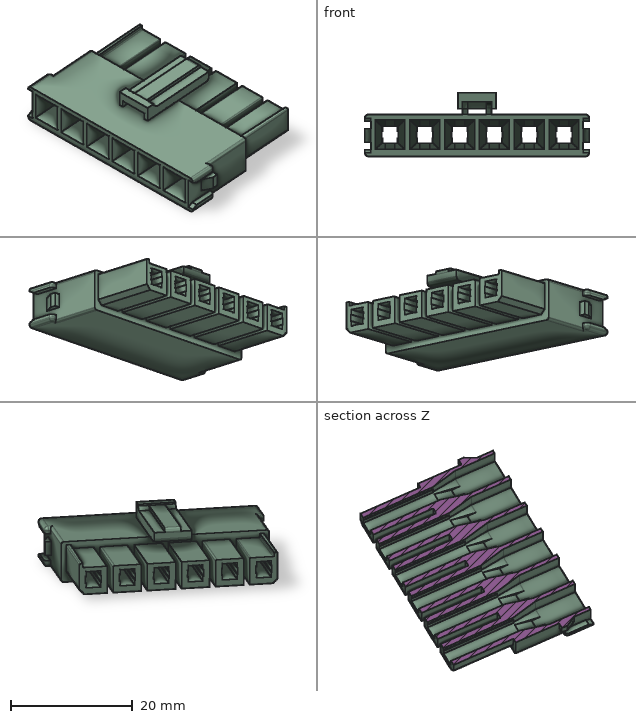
import cadquery as cq

flange_width = 36.85
body_width = 34.82
body_depth = 13.93
body_height = 6.93
body_edge_radius = 0.45

flange_depth = 5.2
flange_thickness = 1.15
flange_edge_radius = 0.65
lead_in_length = 0.92
lead_in_height = 0.48

nub_front = 3.05
nub_peak = 4.85
nub_back = 5.9
nub_height = 2.3

circuit_count = 6
pitch = 5.7
sleeve_width = 4.7
end_sleeve_width = 4.68
sleeve_bottom = 1.1
sleeve_top = 5.7
sleeve_end = 25.0
sleeve_edge_radius = 0.25
end_sleeve_edge_radius = 0.15
end_sleeve_chamfer = 0.8
lip_top = 6.38
lip_root_width = 0.77
lip_tip_width = 0.6
lip_edge_radius = 0.2
lip_foot_radius = 0.2

cavity_width = 4.9
cavity_bottom = 1.18
cavity_top = 6.0
bore_width = 2.65
bore_bottom = 2.2
bore_top = 4.97
throat_width = 2.45
throat_notch_height = 1.1
taper_start = 7.37
taper_length = 4.68
keyway_width = 1.62
keyway_ramp_length = 3.15

latch_width = 6.25
latch_front = 5.6
latch_back = 20.4
latch_bottom = 7.8
latch_top = 10.5
latch_shoulder = 9.58
latch_spine_top = 10.2
latch_spine_width = 2.7
latch_pad_back = 7.08
latch_ramp_length = 0.7
latch_back_radius = 0.7
latch_recess_width = 4.8
latch_recess_top = 9.0

post_width = 0.9
post_root_front = 10.95
post_root_back = 12.9
post_head_front = 10.5
post_front_radius = 1.2
post_back = 12.6
post_x = (latch_recess_width - post_width) / 2

overlap = 0.2

mid_height = body_height / 2
sleeve_centers = [(i - (circuit_count - 1) / 2) * pitch for i in range(circuit_count)]


def block(x_center, width, y_start, y_end, z_start, z_end):
    """Box centred on x_center, spanning the given Y and Z ranges."""
    return cq.Workplane("XY").box(
        width, y_end - y_start, z_end - z_start, centered=(True, False, False)
    ).translate((x_center, y_start, z_start))


def side_profile(points, width, x_center=0.0):
    """Extrude a closed (y, z) outline symmetrically about x_center."""
    profile = cq.Workplane("YZ").polyline(points).close()
    return profile.extrude(width / 2, both=True).translate((x_center, 0, 0))


def mirrored_x(solid):
    return solid.union(solid.mirror("YZ"))


def make_body():
    core = block(0, body_width, 0, body_depth, 0, body_height)
    return core.edges("|Y").fillet(body_edge_radius)


def make_flange():
    """Top front plate with sloped lead-ins; only its two ends stand clear of the body."""
    underside = body_height - flange_thickness
    plate = side_profile(
        [
            (0, body_height),
            (0, underside + lead_in_height),
            (lead_in_length, underside),
            (flange_depth, underside),
            (flange_depth, body_height),
        ],
        flange_width,
    )
    outer_edges = "(|Y and >Z) or (|X and >Y and >Z) or (|Z and >Y)"
    return plate.edges(outer_edges).fillet(flange_edge_radius)


def make_nub():
    inner = body_width / 2 - overlap
    outer = flange_width / 2
    wall = body_width / 2
    outline = [
        (inner, nub_front), (wall, nub_front), (outer, nub_peak), (outer, nub_back), (inner, nub_back)
    ]
    nub = cq.Workplane("XY").polyline(outline).close().extrude(nub_height)
    return nub.translate((0, 0, mid_height - nub_height / 2))


def make_sleeve(x_center, edge_radius):
    sleeve = block(
        x_center, sleeve_width, body_depth - overlap, sleeve_end, sleeve_bottom, sleeve_top
    )
    if edge_radius:
        sleeve = sleeve.edges("|Y and >Z").fillet(edge_radius)
    return sleeve


def make_end_sleeve():
    """Outermost sleeve on the +X side, with a raised lip along its outer wall."""
    inner = sleeve_centers[-1] - sleeve_width / 2
    outer = inner + end_sleeve_width
    root = body_depth - overlap
    sleeve = block(
        (inner + outer) / 2, end_sleeve_width, root, sleeve_end, sleeve_bottom, sleeve_top
    )
    sleeve = sleeve.edges("|Y and >Z and <X").fillet(end_sleeve_edge_radius)
    sleeve = sleeve.edges("|Y and <Z and >X").chamfer(end_sleeve_chamfer)
    lip = (
        cq.Workplane("XY", origin=(0, 0, sleeve_top - overlap))
        .polyline([
            (outer, root),
            (outer, sleeve_end),
            (outer - lip_tip_width, sleeve_end),
            (outer - lip_root_width, root),
        ])
        .close()
        .extrude(lip_top - sleeve_top + overlap)
        .edges(">X and >Z")
        .fillet(lip_edge_radius)
    )
    lip_foot = cq.selectors.NearestToPointSelector(
        (outer - (lip_tip_width + lip_root_width) / 2, (root + sleeve_end) / 2, sleeve_top)
    )
    return sleeve.union(lip).edges(lip_foot).fillet(lip_foot_radius)


def make_cavity(x_center):
    """Square socket that tapers to a narrow bore, with a keyway above and below the taper."""
    taper_end = taper_start + taper_length
    ramp_start = taper_end - keyway_ramp_length
    socket = block(x_center, cavity_width, 0, taper_start, cavity_bottom, cavity_top)
    socket_middle = (cavity_bottom + cavity_top) / 2
    bore_middle = (bore_bottom + bore_top) / 2
    taper = (
        cq.Workplane("XZ", origin=(x_center, taper_start, socket_middle))
        .rect(cavity_width, cavity_top - cavity_bottom)
        .workplane(offset=-taper_length)
        .center(0, bore_middle - socket_middle)
        .rect(bore_width, bore_top - bore_bottom)
        .loft(ruled=True)
    )
    keyway = side_profile(
        [
            (taper_start, cavity_bottom),
            (taper_start, cavity_top),
            (ramp_start, cavity_top),
            (taper_end, bore_top),
            (taper_end, bore_bottom),
            (ramp_start, cavity_bottom),
        ],
        keyway_width,
        x_center,
    )
    throat = block(x_center, throat_width, taper_start, sleeve_end, bore_bottom, bore_top)
    notch = block(
        x_center, bore_width, taper_start, sleeve_end,
        bore_middle - throat_notch_height / 2, bore_middle + throat_notch_height / 2,
    )
    return socket.union(taper).union(keyway).union(throat).union(notch)


def make_latch():
    """Lever with a raised press pad in front and a central spine between two lower shoulders."""
    lever = side_profile(
        [
            (latch_front, latch_bottom),
            (latch_front, latch_top),
            (latch_pad_back, latch_top),
            (latch_pad_back, latch_spine_top),
            (latch_back, latch_spine_top),
            (latch_back, latch_bottom),
        ],
        latch_width,
    )
    lever = lever.faces(">Y").edges("|X").fillet(latch_back_radius)
    shoulder_width = (latch_width - latch_spine_width) / 2
    shoulder_cut = side_profile(
        [
            (latch_pad_back, latch_spine_top),
            (latch_pad_back + latch_ramp_length, latch_shoulder),
            (latch_back, latch_shoulder),
            (latch_back, latch_spine_top),
        ],
        shoulder_width,
        (latch_width - shoulder_width) / 2,
    )
    recess = block(
        0, latch_recess_width, latch_front, post_back, latch_bottom, latch_recess_top
    )
    return lever.cut(mirrored_x(shoulder_cut)).cut(recess)


def make_post():
    """Post under the +X side of the lever, with a concave front and a flared back."""
    base = body_height - overlap
    profile = (
        cq.Workplane("YZ")
        .moveTo(post_root_front, base)
        .lineTo(post_root_front, body_height)
        .radiusArc((post_head_front, latch_recess_top), -post_front_radius)
        .lineTo(post_back, latch_recess_top)
        .lineTo(post_back, latch_bottom)
        .lineTo(post_root_back, body_height)
        .lineTo(post_root_back, base)
        .close()
    )
    return profile.extrude(post_width / 2, both=True).translate((post_x, 0, 0))


def make_post_cap():
    """Block that squares off the -X post inside the lever recess."""
    return block(
        -post_x, post_width, post_head_front, post_back, latch_bottom, latch_recess_top
    )


top_flange = make_flange()
bottom_flange = top_flange.mirror("XY", (0, 0, mid_height))
result = make_body().union(top_flange).union(bottom_flange).union(mirrored_x(make_nub()))

for x_center in sleeve_centers[1:-1]:
    is_middle = abs(x_center) < pitch
    result = result.union(make_sleeve(x_center, 0 if is_middle else sleeve_edge_radius))
result = result.union(mirrored_x(make_end_sleeve()))

for x_center in sleeve_centers:
    result = result.cut(make_cavity(x_center))

result = result.union(make_latch()).union(mirrored_x(make_post())).union(make_post_cap())